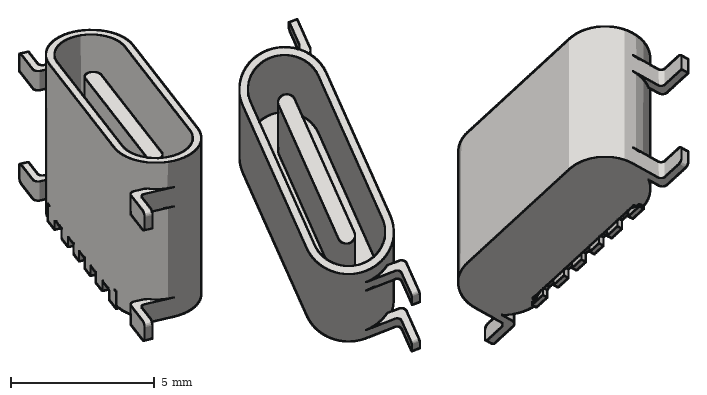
import cadquery as cq

shell_width = 8.94
shell_depth = 3.16
shell_height = 6.5
wall = 0.3
floor_thickness = 1.01

tongue_width = 6.0
tongue_thickness = 0.6
tongue_recess = 0.8

overall_width = 11.18
leg_height = 0.8
leg_pitch = 4.6
bend_radius = 0.2
inner_bend_radius = 0.17
foot_corner_radius = 0.18

contact_top = 0.59
contact_drop = 0.12
contact_thickness = 0.2
contact_sizes = [(0.5, 0.53), (1.52, 0.59), (2.74, 0.63)]

notch_half_width = (shell_width - shell_depth) / 2
notch_top_half_width = 2.3
notch_height = 0.3

front_y = -shell_depth / 2


def obround(width, depth, bottom, top):
    """Upright prism with full-round ends, between two heights."""
    return cq.Workplane("XY").workplane(offset=bottom).slot2D(width, depth).extrude(top - bottom)


def make_shell():
    outside = obround(shell_width, shell_depth, 0, shell_height)
    cavity = obround(shell_width - 2 * wall, shell_depth - 2 * wall, floor_thickness, shell_height)
    return outside.cut(cavity)


def make_notch():
    return (
        cq.Workplane("XZ", origin=(0, front_y + wall, 0))
        .moveTo(-notch_half_width, 0)
        .lineTo(-notch_top_half_width, notch_height)
        .lineTo(notch_top_half_width, notch_height)
        .lineTo(notch_half_width, 0)
        .close()
        .extrude(wall)
    )


def make_leg(bottom, rounded_edges):
    """Right-hand leg: a strip along the shell end, bent outwards into a foot.

    rounded_edges selects which of the foot's end corners are rounded.
    """
    outer_x = shell_width / 2
    foot_end = overall_width / 2
    leg = (
        cq.Workplane("XY", origin=(0, 0, bottom))
        .moveTo(outer_x - wall, 0)
        .lineTo(outer_x - wall, front_y)
        .lineTo(foot_end, front_y)
        .lineTo(foot_end, front_y + wall)
        .lineTo(outer_x, front_y + wall)
        .lineTo(outer_x, 0)
        .close()
        .extrude(leg_height)
    )
    middle = bottom + leg_height / 2
    leg = leg.edges(cq.NearestToPointSelector((outer_x - wall, front_y, middle))).fillet(bend_radius)
    leg = leg.edges(cq.NearestToPointSelector((outer_x, front_y + wall, middle))).fillet(inner_bend_radius)
    return leg.faces(">X").edges(rounded_edges).fillet(foot_corner_radius)


def make_contact(center_x, width):
    return (
        cq.Workplane("XY", origin=(center_x, front_y, -contact_drop))
        .box(width, contact_thickness, contact_top + contact_drop, centered=(True, False, False))
    )


result = make_shell().cut(make_notch())
result = result.union(obround(tongue_width, tongue_thickness, floor_thickness, shell_height - tongue_recess))

both_corners = "|Y"
top_corner = "|Y and >Z"
lower_leg = make_leg(0, both_corners)
upper_right_leg = make_leg(leg_pitch, both_corners)
upper_left_leg = make_leg(leg_pitch, top_corner).mirror("YZ")
for leg in (lower_leg, lower_leg.mirror("YZ"), upper_right_leg, upper_left_leg):
    result = result.union(leg)

for distance, width in contact_sizes:
    for side in (-1, 1):
        result = result.union(make_contact(side * distance, width))